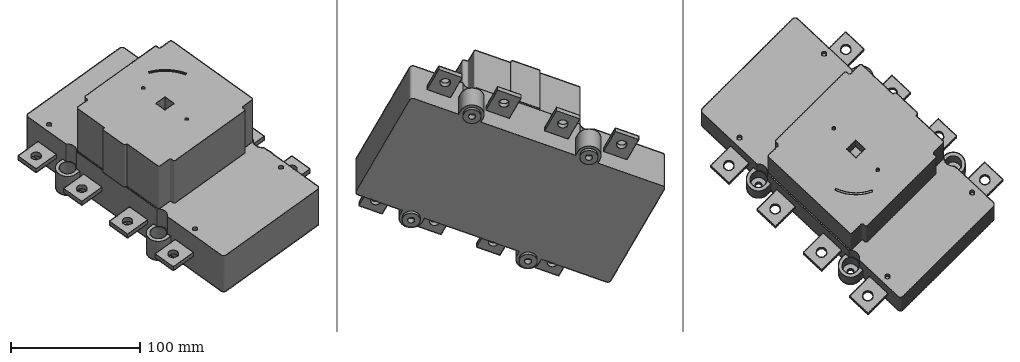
import cadquery as cq
import math

foot_height = 2.5
base_top = 42.7
overall_height = 89.7

base_length = 216.7
base_width = 105.7
base_corner_radius = 2.8

axis_x = -8.7
cover_length = 98.5
cover_width = 103.5
cover_waist_length = 90.1
cover_notch_y = 39.2
cover_edge_radius = 1.3
tongue_left = -23.5
tongue_right = 1.3
tongue_projection = 2.4
tongue_edge_radius = 1.5

shaft_socket_side = 10.0
shaft_socket_depth = 17.3
pin_hole_diameter = 2.5
pin_hole_spacing = 47.7
pin_hole_depth = 4.3
travel_groove_radius = 36.0
travel_groove_width = 1.5
travel_groove_depth = 0.5
travel_groove_start = 108
travel_groove_end = 155

base_hole_diameter = 4.0
base_hole_spacing_x = 160.0
base_hole_spacing_y = 94.0
base_hole_depth = 6.5

terminal_pitch = 50.0
terminal_count = 4
terminal_center_x = -9.8
terminal_width = 20.0
terminal_thickness = 4.3
terminal_top = 23.6
terminal_span = 150.0
terminal_hole_diameter = 8.0
terminal_hole_y = 65.0

post_spacing_x = 99.5
post_y = 57.0
post_top = 23.6
post_diameter = 18.9
foot_diameter = 14.0
screw_head_diameter = 13.0
driver_channel_diameter = 14.0
screw_diameter = 5.5
screw_seat_height = 5.5

post_points = [(axis_x + sx * post_spacing_x / 2, sy * post_y) for sx in (-1, 1) for sy in (-1, 1)]


def make_base():
    height = base_top - foot_height
    base = cq.Workplane("XY", origin=(0, 0, foot_height)).box(
        base_length, base_width, height, centered=(True, True, False)
    )
    base = base.edges("|Z").fillet(base_corner_radius)
    holes = (
        cq.Workplane("XY", origin=(axis_x, 0, base_top))
        .rect(base_hole_spacing_x, base_hole_spacing_y, forConstruction=True)
        .vertices()
        .circle(base_hole_diameter / 2)
        .extrude(-base_hole_depth)
    )
    return base.cut(holes)


def make_cover():
    """Cover block with four notched corners and a tongue on the front face."""
    height = overall_height - base_top
    plane = cq.Workplane("XY", origin=(axis_x, 0, base_top))
    waist = plane.rect(cover_waist_length, cover_width).extrude(height)
    wings = plane.rect(cover_length, 2 * cover_notch_y).extrude(height)
    body = waist.union(wings).edges("|Z").fillet(cover_edge_radius)

    tongue_width = tongue_right - tongue_left
    tongue_length = cover_width / 2 + tongue_projection
    tongue = (
        cq.Workplane("XY", origin=((tongue_left + tongue_right) / 2, -tongue_length / 2, base_top))
        .rect(tongue_width, tongue_length)
        .extrude(height)
        .edges("|Z and <Y")
        .fillet(tongue_edge_radius)
    )
    return body.union(tongue)


def cut_cover_details(part):
    plane = cq.Workplane("XY", origin=(axis_x, 0, overall_height))
    socket = plane.rect(shaft_socket_side, shaft_socket_side).extrude(-shaft_socket_depth)
    pin_holes = (
        plane.pushPoints([(-pin_hole_spacing / 2, 0), (pin_hole_spacing / 2, 0)])
        .circle(pin_hole_diameter / 2)
        .extrude(-pin_hole_depth)
    )
    return part.cut(socket).cut(pin_holes).cut(make_travel_groove())


def make_travel_groove():
    """Shallow arc around the shaft axis that marks the handle travel."""

    def polar(radius, degrees):
        angle = math.radians(degrees)
        return (radius * math.cos(angle), radius * math.sin(angle))

    inner = travel_groove_radius - travel_groove_width / 2
    outer = travel_groove_radius + travel_groove_width / 2
    middle = (travel_groove_start + travel_groove_end) / 2
    return (
        cq.Workplane("XY", origin=(axis_x, 0, overall_height))
        .moveTo(*polar(outer, travel_groove_start))
        .threePointArc(polar(outer, middle), polar(outer, travel_groove_end))
        .lineTo(*polar(inner, travel_groove_end))
        .threePointArc(polar(inner, middle), polar(inner, travel_groove_start))
        .close()
        .extrude(-travel_groove_depth)
    )


def make_terminals():
    """Bars that pass through the base and show as a tab at each end."""
    first_x = terminal_center_x - terminal_pitch * (terminal_count - 1) / 2
    bar_points = [(first_x + i * terminal_pitch, 0) for i in range(terminal_count)]
    hole_points = [(x, side * terminal_hole_y) for x, _ in bar_points for side in (-1, 1)]
    plane = cq.Workplane("XY", origin=(0, 0, terminal_top))
    bars = plane.pushPoints(bar_points).rect(terminal_width, terminal_span).extrude(-terminal_thickness)
    holes = plane.pushPoints(hole_points).circle(terminal_hole_diameter / 2).extrude(-terminal_thickness)
    return bars.cut(holes)


def make_posts():
    """Round posts joined to the base by straight flanks, each on a round foot."""
    plane = cq.Workplane("XY", origin=(0, 0, foot_height))
    height = post_top - foot_height
    posts = plane.pushPoints(post_points).circle(post_diameter / 2).extrude(height)
    for x, y in post_points:
        flank = (
            cq.Workplane("XY", origin=(x, y - math.copysign(post_diameter / 4, y), foot_height))
            .rect(post_diameter, post_diameter / 2)
            .extrude(height)
        )
        posts = posts.union(flank)
    feet = cq.Workplane("XY").pushPoints(post_points).circle(foot_diameter / 2).extrude(post_top)
    return posts.union(feet)


def make_post_bores():
    """Screw holes, head recesses and wider driver channels up the sides of the base."""

    def cylinders(diameter, bottom, top):
        plane = cq.Workplane("XY", origin=(0, 0, bottom)).pushPoints(post_points)
        return plane.circle(diameter / 2).extrude(top - bottom)

    screws = cylinders(screw_diameter, 0, base_top)
    heads = cylinders(screw_head_diameter, screw_seat_height, base_top)
    channels = cylinders(driver_channel_diameter, post_top, base_top)
    return screws.union(heads).union(channels)


base = make_base().union(make_terminals()).union(make_posts()).cut(make_post_bores())
result = cut_cover_details(base.union(make_cover()))